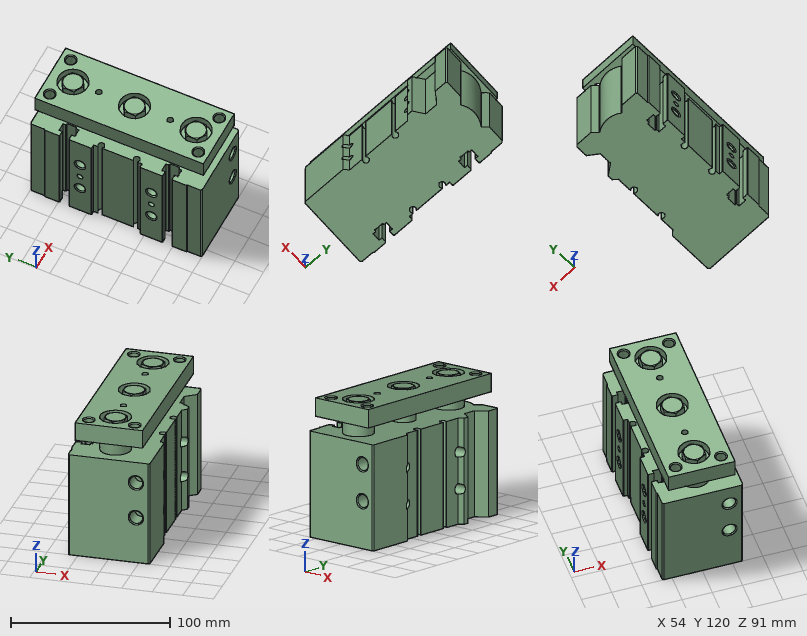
import cadquery as cq
import math

HOUSING_LENGTH = 120.0
HOUSING_WIDTH = 54.0
HOUSING_HEIGHT = 69.0
ROD_EXPOSED = 10.0
PLATE_THICKNESS = 12.0
PLATE_WIDTH = 44.0
PLATE_LENGTH = 118.0

HALF_LENGTH = HOUSING_LENGTH / 2
HALF_WIDTH = HOUSING_WIDTH / 2
PLATE_BOTTOM = HOUSING_HEIGHT + ROD_EXPOSED
PLATE_TOP = PLATE_BOTTOM + PLATE_THICKNESS

CORNER_CHAMFER = 1.0
END_SETBACK = 0.6
END_STRIP_EDGE = 50.0
EDGE_CHAMFER = 0.5
SIDE_RECESS_DEPTH = 3.0
SIDE_FLOOR_X = HALF_WIDTH - SIDE_RECESS_DEPTH
LEFT_RECESS_EDGE = 16.9
RIGHT_RECESS_EDGE = 27.1
RIGHT_RECESS_RUN = 2.6

T_SLOT_Y = 36.0
T_NECK_WIDTH = 6.5
T_LIP = 4.0
T_HEAD_WIDTH = 11.0
T_HEAD_DEPTH = 9.6
T_RELIEF_DEPTH = 10.8

GROOVE_Y = 12.4
GROOVE_MOUTH = 3.0
GROOVE_DIAMETER = 4.2
GROOVE_CENTRE_DEPTH = 1.9

CHANNEL_Y = 40.5
CHANNEL_MOUTH = 19.7
CHANNEL_DEPTH = 7.2
CHANNEL_WALL_ANGLE = math.radians(36)

END_CHANNEL_MOUTH = 27.1
END_CHANNEL_DEPTH = 3.6
END_BOSS_DIAMETER = 32.5

CROSS_HOLE_Y = 25.0
CROSS_HOLE_DIAMETER = 6.6
CROSS_CHAMFER_DIAMETER = 8.0
CROSS_HOLE_LOW_Z = 23.0
CROSS_HOLE_SPACING = 24.0
DOWEL_DIAMETER = 4.0
DOWEL_DEPTH = 6.0

PORT_X = 18.0
PORT_LOW_Z = 31.0
PORT_SPACING = 24.0
PORT_DIAMETER = 8.5
PORT_CHAMFER_DIAMETER = 10.0
PORT_DEPTH = 12.0

ROD_SPACING = 43.1
GUIDE_ROD_DIAMETER = 20.0
PISTON_ROD_DIAMETER = 16.0
WRENCH_FLATS = 13.3
WRENCH_HEIGHT = 4.7
COUNTERBORE_DIAMETER = 20.0
COUNTERBORE_DEPTH = 6.0
HEX_FLATS = 13.3
HEX_TOP_DIAMETER = 13.0
HEX_CHAMFER_SLOPE = math.radians(20)
CORNER_HOLE_X = 15.0
CORNER_HOLE_Y = 52.0
CORNER_HOLE_DIAMETER = 6.6
CORNER_CHAMFER_DIAMETER = 8.0
PLATE_DOWEL_Y = CROSS_HOLE_Y
PLATE_DOWEL_DEPTH = 6.0


def chamfered_hole(diameter, mouth_diameter, depth):
    """Hole cutter along +Z from the origin, with a 45 degree mouth chamfer."""
    radius = diameter / 2
    mouth_radius = mouth_diameter / 2
    return (
        cq.Workplane("XZ")
        .polyline([
            (0, 0),
            (mouth_radius, 0),
            (radius, mouth_radius - radius),
            (radius, depth),
            (0, depth),
        ])
        .close()
        .revolve(360, (0, 0, 0), (0, 1, 0))
    )


def along_x(cutter, y, z):
    """Turn a +Z cutter to run toward +X from the pads of the -X side."""
    return cutter.rotate((0, 0, 0), (0, 1, 0), 90).translate((-HALF_WIDTH, y, z))


def prism(points):
    """Upright prism over the full housing height."""
    return cq.Workplane("XY").polyline(points).close().extrude(HOUSING_HEIGHT)


def box_between(x_min, x_max, y_min, y_max):
    """Upright block over the full housing height."""
    return prism([(x_min, y_min), (x_max, y_min), (x_max, y_max), (x_min, y_max)])


def flare(x, y, width):
    """45 degree flare that breaks both edges of a slot opening toward -X at the given X."""
    half_slot = width / 2
    half_mouth = half_slot + EDGE_CHAMFER
    return prism([
        (x, y - half_mouth),
        (x, y + half_mouth),
        (x + EDGE_CHAMFER, y + half_slot),
        (x + EDGE_CHAMFER, y - half_slot),
    ])


def t_slot(y):
    """T-slot opening toward -X, with a central relief behind its head."""
    outside = -HALF_WIDTH
    half_neck = T_NECK_WIDTH / 2
    half_head = T_HEAD_WIDTH / 2
    neck = box_between(outside, outside + T_RELIEF_DEPTH, y - half_neck, y + half_neck)
    head = box_between(outside + T_LIP, outside + T_HEAD_DEPTH, y - half_head, y + half_head)
    mouth_flare = flare(outside, y, T_NECK_WIDTH)
    relief_flare = flare(outside + T_HEAD_DEPTH, y, T_NECK_WIDTH)
    return neck.union(head).union(mouth_flare).union(relief_flare)


def sensor_groove(side, y):
    """Round groove with a narrow mouth, in the -X (side = -1) or +X (side = 1) face."""
    centre_x = side * (SIDE_FLOOR_X - GROOVE_CENTRE_DEPTH)
    x_min, x_max = sorted((centre_x, side * HALF_WIDTH))
    mouth = box_between(x_min, x_max, y - GROOVE_MOUTH / 2, y + GROOVE_MOUTH / 2)
    bore = (
        cq.Workplane("XY")
        .center(centre_x, y)
        .circle(GROOVE_DIAMETER / 2)
        .extrude(HOUSING_HEIGHT)
    )
    return mouth.union(bore)


def side_channel():
    """Trapezoid channel in the +X side, narrower at its floor."""
    half_mouth = CHANNEL_MOUTH / 2
    half_floor = half_mouth - CHANNEL_DEPTH * math.tan(CHANNEL_WALL_ANGLE)
    floor_x = HALF_WIDTH - CHANNEL_DEPTH
    return prism([
        (HALF_WIDTH, CHANNEL_Y - half_mouth),
        (HALF_WIDTH, CHANNEL_Y + half_mouth),
        (floor_x, CHANNEL_Y + half_floor),
        (floor_x, CHANNEL_Y - half_floor),
    ])


def end_channel():
    """Channel with 45 degree walls in the +Y end, leaving the round boss standing."""
    half_mouth = END_CHANNEL_MOUTH / 2
    half_floor = half_mouth - END_CHANNEL_DEPTH
    floor_y = HALF_LENGTH - END_CHANNEL_DEPTH
    boss = (
        cq.Workplane("XY")
        .center(0, ROD_SPACING)
        .circle(END_BOSS_DIAMETER / 2)
        .extrude(HOUSING_HEIGHT)
    )
    return prism([
        (-half_mouth, HALF_LENGTH),
        (half_mouth, HALF_LENGTH),
        (half_floor, floor_y),
        (-half_floor, floor_y),
    ]).cut(boss)


def housing_block():
    """Extruded block with set-back end strips, chamfered corners and side recesses."""
    left_strip_x = -HALF_WIDTH + END_SETBACK
    block = box_between(left_strip_x, HALF_WIDTH, -HALF_LENGTH, HALF_LENGTH)
    block = block.edges("|Z").chamfer(CORNER_CHAMFER)
    pad_edge = END_STRIP_EDGE - END_SETBACK
    pads = prism([
        (-HALF_WIDTH, -pad_edge),
        (left_strip_x, -END_STRIP_EDGE),
        (left_strip_x, END_STRIP_EDGE),
        (-HALF_WIDTH, pad_edge),
    ])
    left_recess = box_between(-HALF_WIDTH, -SIDE_FLOOR_X, -LEFT_RECESS_EDGE, LEFT_RECESS_EDGE)
    left_recess = left_recess.union(flare(-HALF_WIDTH, 0, 2 * LEFT_RECESS_EDGE))
    floor_edge = RIGHT_RECESS_EDGE - RIGHT_RECESS_RUN
    right_recess = prism([
        (HALF_WIDTH, -RIGHT_RECESS_EDGE),
        (HALF_WIDTH, RIGHT_RECESS_EDGE),
        (SIDE_FLOOR_X, floor_edge),
        (SIDE_FLOOR_X, -floor_edge),
    ])
    return block.union(pads).cut(left_recess).cut(right_recess)


def make_housing():
    """Housing block with its slots, grooves, cross holes and ports."""
    body = housing_block().cut(side_channel()).cut(end_channel())

    for end in (-1, 1):
        body = body.cut(t_slot(end * T_SLOT_Y))
        for side in (-1, 1):
            body = body.cut(sensor_groove(side, end * GROOVE_Y))

    cross_hole = chamfered_hole(CROSS_HOLE_DIAMETER, CROSS_CHAMFER_DIAMETER, HOUSING_WIDTH)
    dowel_hole = cq.Workplane("XY").circle(DOWEL_DIAMETER / 2).extrude(DOWEL_DEPTH)
    for y in (-CROSS_HOLE_Y, CROSS_HOLE_Y):
        for row in range(2):
            body = body.cut(along_x(cross_hole, y, CROSS_HOLE_LOW_Z + row * CROSS_HOLE_SPACING))
        body = body.cut(along_x(dowel_hole, y, CROSS_HOLE_LOW_Z + CROSS_HOLE_SPACING / 2))

    port = chamfered_hole(PORT_DIAMETER, PORT_CHAMFER_DIAMETER, PORT_DEPTH)
    port = port.rotate((0, 0, 0), (1, 0, 0), -90)
    for row in range(2):
        body = body.cut(port.translate((PORT_X, -HALF_LENGTH, PORT_LOW_Z + row * PORT_SPACING)))
    return body


def guide_rod(y):
    """Plain rod that reaches from the housing top to the plate."""
    return (
        cq.Workplane("XY", origin=(0, y, HOUSING_HEIGHT))
        .circle(GUIDE_ROD_DIAMETER / 2)
        .extrude(ROD_EXPOSED)
    )


def piston_rod():
    """Rod with two wrench flats, facing -X and +X, right under the plate."""
    rod = (
        cq.Workplane("XY", origin=(0, 0, HOUSING_HEIGHT))
        .circle(PISTON_ROD_DIAMETER / 2)
        .extrude(ROD_EXPOSED)
    )
    for side in (-1, 1):
        flat_cutter = (
            cq.Workplane("XY", origin=(0, 0, PLATE_BOTTOM - WRENCH_HEIGHT))
            .center(side * (WRENCH_FLATS + PISTON_ROD_DIAMETER) / 2, 0)
            .rect(PISTON_ROD_DIAMETER, PISTON_ROD_DIAMETER)
            .extrude(WRENCH_HEIGHT)
        )
        rod = rod.cut(flat_cutter)
    return rod


def hex_head(y):
    """Hex head on the counterbore floor, corners toward -Y and +Y, top chamfered round."""
    floor_z = PLATE_TOP - COUNTERBORE_DEPTH
    height = COUNTERBORE_DEPTH
    across_corners = HEX_FLATS / math.cos(math.radians(30))
    head = (
        cq.Workplane("XY", origin=(0, y, floor_z))
        .transformed(rotate=(0, 0, 90))
        .polygon(6, across_corners)
        .extrude(height)
    )
    top_radius = HEX_TOP_DIAMETER / 2
    base_radius = top_radius + height / math.tan(HEX_CHAMFER_SLOPE)
    cone = cq.Solid.makeCone(base_radius, top_radius, height, pnt=cq.Vector(0, y, floor_z))
    return head.intersect(cq.Workplane(cone))


def plate_block():
    """End plate with corner holes, dowel holes and counterbores in its top."""
    plate = (
        cq.Workplane("XY", origin=(0, 0, PLATE_BOTTOM))
        .rect(PLATE_WIDTH, PLATE_LENGTH)
        .extrude(PLATE_THICKNESS)
    )
    corner_hole = chamfered_hole(CORNER_HOLE_DIAMETER, CORNER_CHAMFER_DIAMETER, PLATE_THICKNESS)
    corner_hole = corner_hole.rotate((0, 0, 0), (1, 0, 0), 180)
    for x in (-CORNER_HOLE_X, CORNER_HOLE_X):
        for y in (-CORNER_HOLE_Y, CORNER_HOLE_Y):
            plate = plate.cut(corner_hole.translate((x, y, PLATE_TOP)))
    return (
        plate.faces(">Z")
        .workplane(origin=(0, 0, PLATE_TOP))
        .pushPoints([(0, -PLATE_DOWEL_Y), (0, PLATE_DOWEL_Y)])
        .hole(DOWEL_DIAMETER, PLATE_DOWEL_DEPTH)
        .faces(">Z")
        .workplane(origin=(0, 0, PLATE_TOP))
        .pushPoints([(0, -ROD_SPACING), (0, 0), (0, ROD_SPACING)])
        .hole(COUNTERBORE_DIAMETER, COUNTERBORE_DEPTH)
    )


def make_moving_plate():
    """End plate with its three rods and their hex heads, as one solid."""
    moving = plate_block().union(piston_rod()).union(hex_head(0))
    for y in (-ROD_SPACING, ROD_SPACING):
        moving = moving.union(guide_rod(y)).union(hex_head(y))
    return moving


housing = make_housing()
moving_plate = make_moving_plate()

result = cq.Compound.makeCompound([housing.val(), moving_plate.val()])